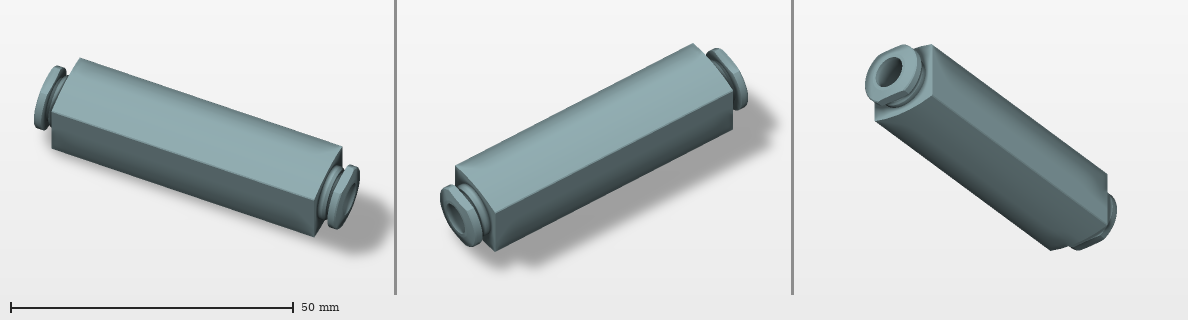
import cadquery as cq

total_length = 58.6
body_length = 50.4
body_width = 13.0
body_height = 13.0

crown_edge_height = 11.2
corner_bevel = 0.2

bore_diameter = 6.0
end_ring_diameter = 7.25
neck_diameter = 8.1
collar_tip_diameter = 9.3
collar_diameter = 10.0
flange_rim_diameter = 11.3
flange_diameter = 11.7
flange_across_flats = 10.0

cone_depth = 0.35
rim_depth = 0.6
flange_depth = 1.8
flange_root_depth = 2.0
neck_depth = 2.7
collar_bevel_depth = 3.2
bore_depth = 17.6

half_length = total_length / 2
body_end = body_length / 2


def make_body():
    """Prism along X with crowned top and bottom."""
    half_width = body_width / 2
    half_crown_width = half_width - corner_bevel
    half_edge_height = crown_edge_height / 2
    half_side_height = half_edge_height - corner_bevel
    return (
        cq.Workplane("YZ")
        .moveTo(half_width, -half_side_height)
        .lineTo(half_width, half_side_height)
        .lineTo(half_crown_width, half_edge_height)
        .threePointArc((0, body_height / 2), (-half_crown_width, half_edge_height))
        .lineTo(-half_width, half_side_height)
        .lineTo(-half_width, -half_side_height)
        .lineTo(-half_crown_width, -half_edge_height)
        .threePointArc((0, -body_height / 2), (half_crown_width, -half_edge_height))
        .close()
        .extrude(body_end, both=True)
    )


def revolve_about_x(profile):
    """Revolve a closed outline of (x, radius) points about the X axis."""
    return cq.Workplane("XY").polyline(profile).close().revolve(360, (0, 0, 0), (1, 0, 0))


def make_flange():
    """Release flange at the -X end: shallow cone face, bevelled rim, coned back and two wrench flats."""
    flange_back = -half_length + flange_depth
    flange_root = -half_length + flange_root_depth
    disc = revolve_about_x([
        (-half_length, 0),
        (-half_length, end_ring_diameter / 2),
        (-half_length + cone_depth, flange_rim_diameter / 2),
        (-half_length + rim_depth, flange_diameter / 2),
        (flange_back, flange_diameter / 2),
        (flange_root, neck_diameter / 2),
        (flange_root, 0),
    ])
    flats = cq.Workplane("XY").box(total_length, flange_diameter, flange_across_flats)
    return disc.intersect(flats)


def make_neck_and_collar():
    """Neck behind the flange and the bevelled collar that seats on the body."""
    neck_start = -half_length + flange_root_depth
    collar_start = -half_length + neck_depth
    return revolve_about_x([
        (neck_start, 0),
        (neck_start, neck_diameter / 2),
        (collar_start, neck_diameter / 2),
        (collar_start, collar_tip_diameter / 2),
        (-half_length + collar_bevel_depth, collar_diameter / 2),
        (-body_end, collar_diameter / 2),
        (-body_end, 0),
    ])


def make_bore():
    """Blind tube bore at the -X end."""
    return (
        cq.Workplane("YZ")
        .workplane(offset=-half_length)
        .circle(bore_diameter / 2)
        .extrude(bore_depth)
    )


fitting = make_flange().union(make_neck_and_collar())
bore = make_bore()

result = make_body().union(fitting).union(fitting.mirror("YZ"))
result = result.cut(bore).cut(bore.mirror("YZ"))